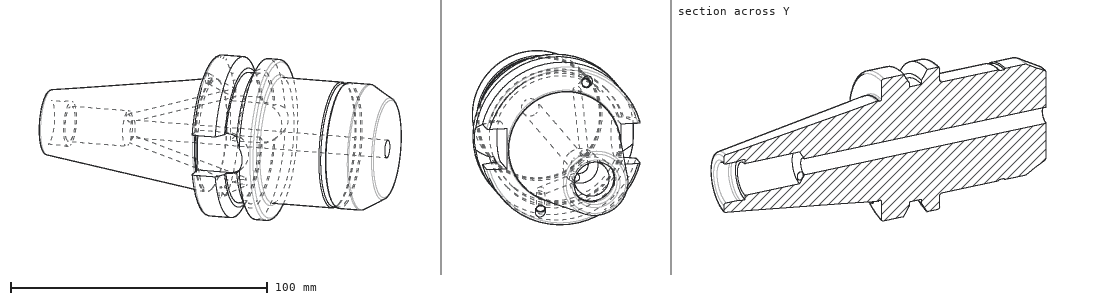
import cadquery as cq
import math


GAUGE_DIA = 44.45
TAPER_LENGTH = 65.4
TAPER_RATIO = 7 / 24
TAPER_END_RADIUS = (GAUGE_DIA - TAPER_LENGTH * TAPER_RATIO) / 2
TAPER_END_FILLET = 1.0
NECK_DIA = 44.0
GAUGE_LAND_END = 0.7
NECK_FILLET = 0.5

FLANGE_DIA = 63.0
FLANGE_START = 2.0
FLANGE_END = 27.0
FLANGE_FILLET = 1.0
GROOVE_CENTER = 16.6
GROOVE_FLOOR_WIDTH = 5.0
GROOVE_FLOOR_DIA = 51.0
GROOVE_WALL_WIDTH = 2.5
GROOVE_WALL_DEPTH = GROOVE_WALL_WIDTH * math.tan(math.radians(60))

SLOT_WIDTH = 16.1
SLOT_END = 22.9
SLOT_FLOOR_Y = 22.6

NOSE_END = 72.5
BODY_DIA = 49.25
BODY_FILLET = 1.0
RING_GROOVE_START = 52.0
RING_GROOVE_FLOOR_START = 52.6
RING_GROOVE_FLOOR_END = 54.5
RING_GROOVE_END = 54.9
RING_GROOVE_DIA = 48.25
NOSE_CONE_START = 63.8
NOSE_CONE_SLOPE = math.tan(math.radians(30))
NOSE_END_RADIUS = BODY_DIA / 2 - (NOSE_END - NOSE_CONE_START) * NOSE_CONE_SLOPE
NOSE_FILLET = 1.0

PILOT_DIA = 17.0
MOUTH_FILLET = 1.0
PILOT_DEPTH = 5.9
RELIEF_DIA = 17.6
RELIEF_FLARE = 1.2
RELIEF_DEPTH = 9.0
THREAD_DIA = 13.84
THREAD_END = -33.0
COOLANT_DIA = 6.92
DRILL_TIP_SLOPE = math.tan(math.radians(118 / 2))
DRILL_TIP_LENGTH = (THREAD_DIA - COOLANT_DIA) / 2 / DRILL_TIP_SLOPE

PASSAGE_PLANE_ANGLE = 20.0
PORT_DIA = 4.0
PORT_RADIUS = 27.1
PORT_SLOPE = math.tan(math.radians(30))
PORT_STEP_X = FLANGE_START + 1.5
FEED_DIA = 3.24
FEED_START_RADIUS = 5.0
FEED_SLOPE = math.tan(math.radians(20))


def turned(points):
    """Revolve a closed (x, radius) outline about the X axis."""
    outline = cq.Workplane("XY").polyline(points).close()
    return outline.revolve(360, (0, 0, 0), (1, 0, 0))


def circle_at(x, radius):
    """Selector for the circular edge of the given radius around the X axis at x."""
    slack = 0.01
    reach = radius + slack
    return cq.selectors.BoxSelector((x - slack, -reach, -reach), (x + slack, reach, reach), boundingbox=True)


def outer_body():
    """Taper shank, V-grooved flange and nose, with the fillets where they join."""
    groove_left = GROOVE_CENTER - GROOVE_FLOOR_WIDTH / 2
    groove_right = GROOVE_CENTER + GROOVE_FLOOR_WIDTH / 2
    flange_r = FLANGE_DIA / 2
    wall_r = flange_r - GROOVE_WALL_DEPTH
    neck_r = NECK_DIA / 2
    gauge_r = GAUGE_DIA / 2
    shank = turned([
        (-TAPER_LENGTH, 0),
        (-TAPER_LENGTH, TAPER_END_RADIUS),
        (0, gauge_r),
        (GAUGE_LAND_END, gauge_r),
        (GAUGE_LAND_END + gauge_r - neck_r, neck_r),
        (FLANGE_START, neck_r),
        (FLANGE_START, 0),
    ])
    shank = shank.faces("<X").edges().fillet(TAPER_END_FILLET)
    flange = turned([
        (FLANGE_START, 0),
        (FLANGE_START, flange_r),
        (groove_left - GROOVE_WALL_WIDTH, flange_r),
        (groove_left, wall_r),
        (groove_left, GROOVE_FLOOR_DIA / 2),
        (groove_right, GROOVE_FLOOR_DIA / 2),
        (groove_right, wall_r),
        (groove_right + GROOVE_WALL_WIDTH, flange_r),
        (FLANGE_END, flange_r),
        (FLANGE_END, 0),
    ])
    flange = flange.faces("<X or >X").edges().fillet(FLANGE_FILLET)
    body_r = BODY_DIA / 2
    nose = turned([
        (FLANGE_END, 0),
        (FLANGE_END, body_r),
        (RING_GROOVE_START, body_r),
        (RING_GROOVE_FLOOR_START, RING_GROOVE_DIA / 2),
        (RING_GROOVE_FLOOR_END, RING_GROOVE_DIA / 2),
        (RING_GROOVE_END, body_r),
        (NOSE_CONE_START, body_r),
        (NOSE_END, NOSE_END_RADIUS),
        (NOSE_END, 0),
    ])
    nose = nose.edges(circle_at(NOSE_CONE_START, body_r)).fillet(NOSE_FILLET)
    nose = nose.faces(">X").edges().fillet(NOSE_FILLET)
    body = shank.union(flange).union(nose)
    body = body.edges(circle_at(FLANGE_START, neck_r)).fillet(NECK_FILLET)
    return body.edges(circle_at(FLANGE_END, body_r)).fillet(BODY_FILLET)


def drive_slots():
    """Round-ended slots that run in from the shank side of the flange."""
    end_center = SLOT_END - SLOT_WIDTH / 2
    depth = FLANGE_DIA / 2 - SLOT_FLOOR_Y
    slot = (
        cq.Workplane("XZ", origin=(0, -SLOT_FLOOR_Y, 0))
        .moveTo(FLANGE_START, -SLOT_WIDTH / 2)
        .lineTo(end_center, -SLOT_WIDTH / 2)
        .threePointArc((SLOT_END, 0), (end_center, SLOT_WIDTH / 2))
        .lineTo(FLANGE_START, SLOT_WIDTH / 2)
        .close()
        .extrude(depth)
    )
    return slot.union(slot.mirror("XZ"))


def stepped_bore():
    """Pilot, flared relief, thread bore with drill cone, and coolant hole through to the nose."""
    start = -TAPER_LENGTH
    return turned([
        (start, 0),
        (start, PILOT_DIA / 2),
        (start + PILOT_DEPTH, PILOT_DIA / 2),
        (start + PILOT_DEPTH + RELIEF_FLARE, RELIEF_DIA / 2),
        (start + RELIEF_DEPTH, RELIEF_DIA / 2),
        (start + RELIEF_DEPTH, THREAD_DIA / 2),
        (THREAD_END, THREAD_DIA / 2),
        (THREAD_END + DRILL_TIP_LENGTH, COOLANT_DIA / 2),
        (NOSE_END, COOLANT_DIA / 2),
        (NOSE_END, 0),
    ])


def drilled(start, end, diameter):
    """A cylinder between two (x, radius) points in the XZ plane."""
    dx = end[0] - start[0]
    dz = end[1] - start[1]
    base = cq.Vector(start[0], 0, start[1])
    cylinder = cq.Solid.makeCylinder(diameter / 2, math.hypot(dx, dz), base, cq.Vector(dx, 0, dz))
    return cq.Workplane(cylinder)


def coolant_passages():
    """Two opposite V-shaped passages from the bore cone to the flange face."""
    def port_point(x):
        return x, PORT_RADIUS - PORT_SLOPE * (x - FLANGE_START)

    feed_x = THREAD_END + (THREAD_DIA / 2 - FEED_START_RADIUS) / DRILL_TIP_SLOPE
    feed_start = (feed_x - DRILL_TIP_LENGTH, FEED_START_RADIUS - FEED_SLOPE * DRILL_TIP_LENGTH)
    port_intercept = PORT_RADIUS + PORT_SLOPE * FLANGE_START
    feed_intercept = FEED_START_RADIUS - FEED_SLOPE * feed_x
    meeting = port_point((port_intercept - feed_intercept) / (PORT_SLOPE + FEED_SLOPE))

    port = drilled(port_point(FLANGE_START - PORT_DIA), port_point(PORT_STEP_X), PORT_DIA)
    passage = port.union(drilled(port_point(FLANGE_START), meeting, FEED_DIA))
    passage = passage.union(drilled(feed_start, meeting, FEED_DIA))
    passage = passage.rotate((0, 0, 0), (1, 0, 0), PASSAGE_PLANE_ANGLE)
    return passage.union(passage.rotate((0, 0, 0), (1, 0, 0), 180))


result = outer_body().cut(drive_slots()).cut(stepped_bore())
result = result.edges(circle_at(-TAPER_LENGTH, PILOT_DIA / 2)).fillet(MOUTH_FILLET)
result = result.cut(coolant_passages())